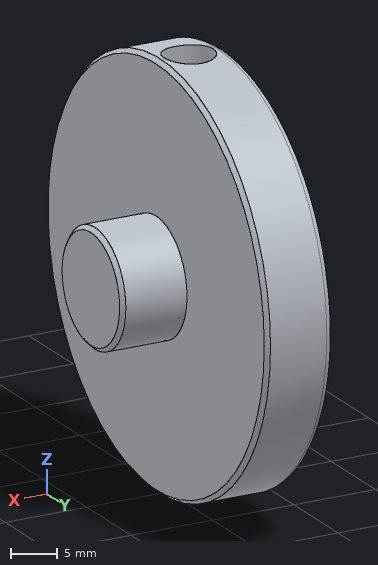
import cadquery as cq

disc_diameter = 50.0
dome_height = 3.0
disc_back = 11.0
front_fillet = 0.75
back_chamfer = 0.5

stub_diameter = 14.0
stub_length = 8.0
stub_chamfer = 0.5

hole_diameter = 6.0
hole_depth = 10.0
drill_tip_height = 1.75

disc_radius = disc_diameter / 2
rim_middle = (dome_height + disc_back) / 2


def make_disc():
    dome_radius = (disc_radius**2 + dome_height**2) / (2 * dome_height)
    blank = cq.Workplane("YZ").circle(disc_radius).extrude(disc_back)
    ball = cq.Workplane("XY").sphere(dome_radius).translate((dome_radius, 0, 0))
    disc = blank.intersect(ball)
    front_edge = cq.selectors.NearestToPointSelector((dome_height, 0, 0))
    disc = disc.edges(front_edge).fillet(front_fillet)
    return disc.faces(">X").edges().chamfer(back_chamfer)


def make_stub():
    back_plane = cq.Workplane("YZ").workplane(offset=disc_back)
    stub = back_plane.circle(stub_diameter / 2).extrude(stub_length)
    return stub.faces(">X").edges().chamfer(stub_chamfer)


def make_radial_hole():
    hole_radius = hole_diameter / 2
    floor = disc_radius - hole_depth
    profile = (
        cq.Workplane("XZ")
        .moveTo(0, disc_radius)
        .lineTo(hole_radius, disc_radius)
        .lineTo(hole_radius, floor)
        .lineTo(0, floor - drill_tip_height)
        .close()
    )
    cutter = profile.revolve(360, (0, 0, 0), (0, 1, 0))
    return cutter.translate((rim_middle, 0, 0))


result = make_disc().union(make_stub()).cut(make_radial_hole())